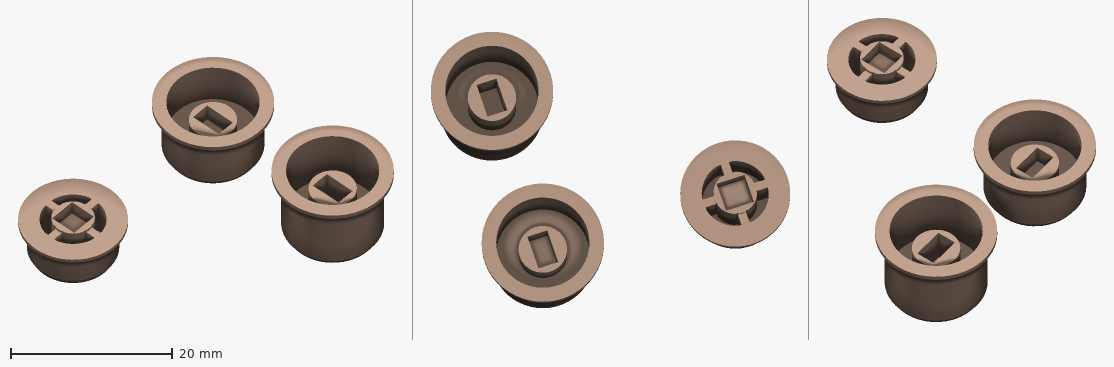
import cadquery as cq
import math

overall_length = 39.25
socket_spacing = 20.0
cap_shift_x = -1.02
cap_base_z = 0.47

chamfer_height = 1.0

socket_flange_diameter = 15.2
socket_flange_thickness = 0.6
socket_diameter = 12.8
socket_chamfer_inset = 0.6
short_socket_height = 8.6
tall_socket_height = 10.6
bore_diameter = 11.6
socket_floor_thickness = 2.83
post_diameter = 6.0
post_recess = 3.25
key_length = 4.28
key_width = 2.6

cap_flange_diameter = 13.65
cap_flange_thickness = 0.5
cap_diameter = 11.5
cap_chamfer_inset = 0.5
cap_height = 6.0
cap_floor_thickness = 1.0
hub_diameter = 5.4
hub_rise = 0.3
hub_square = 3.65
hub_square_depth = 2.0
pocket_diameter = 8.32
rib_width = 1.05
pocket_flat_width = 1.75

cap_shift_y = (socket_flange_diameter + cap_flange_diameter) / 2 - overall_length


def flanged_body(diameter, chamfer_inset, height, flange_diameter, flange_thickness):
    """Solid round body with a chamfered foot at z = 0 and a flange at the top."""
    radius = diameter / 2
    flange_radius = flange_diameter / 2
    flange_base = height - flange_thickness
    return (
        cq.Workplane("XZ")
        .moveTo(0, 0)
        .lineTo(radius - chamfer_inset, 0)
        .lineTo(radius, chamfer_height)
        .lineTo(radius, flange_base)
        .lineTo(flange_radius, flange_base)
        .lineTo(flange_radius, height)
        .lineTo(0, height)
        .close()
        .revolve(360, (0, 0, 0), (0, 1, 0))
    )


def make_socket(height):
    """Cup with a round post on its floor; the post has a rectangular keyway."""
    body = flanged_body(
        socket_diameter, socket_chamfer_inset, height, socket_flange_diameter, socket_flange_thickness
    )
    bore_depth = height - socket_floor_thickness
    post_height = bore_depth - post_recess
    floor = cq.Workplane("XY").workplane(offset=socket_floor_thickness)
    bore = floor.circle(bore_diameter / 2).extrude(bore_depth)
    post = floor.circle(post_diameter / 2).extrude(post_height)
    keyway = floor.rect(key_length, key_width).extrude(post_height)
    return body.cut(bore).union(post).cut(keyway)


def flatted_disc(base, diameter, height):
    """Round disc with four flats, facing +X, -X, +Y and -Y."""
    radius = diameter / 2
    across_flats = 2 * math.sqrt(radius**2 - (pocket_flat_width / 2) ** 2)
    square = base.rect(across_flats, across_flats).extrude(height)
    return base.circle(radius).extrude(height).intersect(square)


def make_cap():
    """Plug with a raised square-holed hub, and four ribs across the ring pocket around it."""
    body = flanged_body(
        cap_diameter, cap_chamfer_inset, cap_height, cap_flange_diameter, cap_flange_thickness
    )
    hub_top = cap_height + hub_rise
    hub = cq.Workplane("XY").workplane(offset=cap_height).circle(hub_diameter / 2).extrude(hub_rise)

    floor = cq.Workplane("XY").workplane(offset=cap_floor_thickness)
    pocket_depth = hub_top - cap_floor_thickness
    ring = flatted_disc(floor, pocket_diameter, pocket_depth)
    ring = ring.cut(flatted_disc(floor, hub_diameter, pocket_depth))
    for length_x, length_y in ((pocket_diameter, rib_width), (rib_width, pocket_diameter)):
        rib = floor.rect(length_x, length_y).extrude(pocket_depth)
        ring = ring.cut(rib)

    square_hole = (
        cq.Workplane("XY")
        .workplane(offset=hub_top - hub_square_depth)
        .rect(hub_square, hub_square)
        .extrude(hub_square_depth)
    )
    return body.union(hub).cut(ring).cut(square_hole)


sockets = []
for index, socket_height in enumerate((short_socket_height, tall_socket_height)):
    socket = make_socket(socket_height).translate((index * socket_spacing, 0, 0))
    sockets.append(socket.val())

cap = make_cap().translate((cap_shift_x, cap_shift_y, cap_base_z))

result = cq.Compound.makeCompound([*sockets, cap.val()])